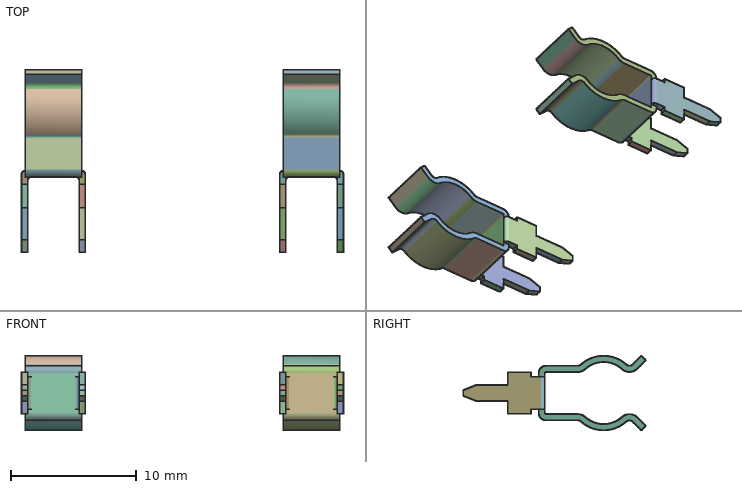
import cadquery as cq
import math


overall_width = 25.6
clip_width = 5.1
clip_pitch = overall_width - clip_width

sheet = 0.5
web_width = 4.5
arm_height = 2.18
corner_radius = 0.6
crest_y = 5.17
crest_height = 2.97
crest_radius = 2.7
valley_radius = 0.35
lip_angle = 45.0
lip_end_y = 8.52

neck_half_height = 1.3
shoulder_half_height = 1.66
pin_half_height = 0.65
tip_half_height = 0.23
shoulder_start_y = -0.6
shoulder_end_y = -2.45
taper_start_y = -4.97
tip_y = -6.0
leg_outer_radius = 0.33
leg_inner_radius = 0.25


def arm_bends():
    """Bends from web to lip as (center y, center z, outer radius, growth, start, end).

    Growth is the change of radius per unit of depth into the sheet; angles are in degrees.
    """
    crest_z = crest_height - crest_radius
    valley_z = arm_height + valley_radius
    rise = valley_z - crest_z
    reach = crest_radius + valley_radius
    half_span = math.sqrt(reach**2 - rise**2)
    crest_angle = math.degrees(math.asin(half_span / reach))
    return [
        (corner_radius, arm_height - corner_radius, corner_radius, -1, 180, 90),
        (crest_y - half_span, valley_z, valley_radius, 1, -90, crest_angle - 90),
        (crest_y, crest_z, crest_radius, -1, 90 + crest_angle, 90 - crest_angle),
        (crest_y + half_span, valley_z, valley_radius, 1, -90 - crest_angle, lip_angle - 90),
    ]


def bend_points(bend, depth):
    """Start, middle and end of a bend at a depth below the outer face of the sheet."""
    center_y, center_z, outer_radius, growth, start, end = bend
    radius = outer_radius + growth * depth
    points = []
    for degrees in (start, (start + end) / 2, end):
        angle = math.radians(degrees)
        points.append((center_y + radius * math.cos(angle), center_z + radius * math.sin(angle)))
    return points


def lip_end(last_bend_end, depth):
    """Square-cut lip end; its inner corner lies at lip_end_y."""
    lip = math.radians(lip_angle)
    end_y = lip_end_y - (sheet - depth) * math.sin(lip)
    run = end_y - last_bend_end[0]
    return end_y, last_bend_end[1] + run * math.tan(lip)


def make_arm():
    """Upper half of the spring: half of the web, one arm and its lip."""
    corner, *wave = arm_bends()
    outline = cq.Workplane("YZ").moveTo(0, 0)
    for tangent_run in ([corner], wave):
        outline = outline.lineTo(*bend_points(tangent_run[0], 0)[0])
        for bend in tangent_run:
            _, middle, end = bend_points(bend, 0)
            outline = outline.threePointArc(middle, end)
    outer_end = bend_points(wave[-1], 0)[-1]
    inner_end = bend_points(wave[-1], sheet)[-1]
    outline = outline.lineTo(*lip_end(outer_end, 0)).lineTo(*lip_end(inner_end, sheet))
    for tangent_run in (wave[::-1], [corner]):
        outline = outline.lineTo(*bend_points(tangent_run[0], sheet)[-1])
        for bend in tangent_run:
            start, middle, _ = bend_points(bend, sheet)
            outline = outline.threePointArc(middle, start)
    return outline.lineTo(sheet, 0).close().extrude(web_width / 2, both=True)


def make_neck():
    """Bend that turns the +X edge of the web back toward -Y."""
    outer_x = clip_width / 2
    inner_x = outer_x - sheet
    arc = math.sqrt(0.5)
    outer_center = (outer_x - leg_outer_radius, sheet - leg_outer_radius)
    inner_center = (inner_x - leg_inner_radius, -leg_inner_radius)
    outer_middle = tuple(c + leg_outer_radius * arc for c in outer_center)
    inner_middle = tuple(c + leg_inner_radius * arc for c in inner_center)
    return (
        cq.Workplane("XY")
        .moveTo(inner_center[0], 0)
        .lineTo(inner_center[0], sheet)
        .lineTo(outer_center[0], sheet)
        .threePointArc(outer_middle, (outer_x, outer_center[1]))
        .lineTo(outer_x, shoulder_start_y)
        .lineTo(inner_x, shoulder_start_y)
        .lineTo(inner_x, inner_center[1])
        .threePointArc(inner_middle, (inner_center[0], 0))
        .close()
        .extrude(neck_half_height, both=True)
    )


def make_blade():
    """Flat shoulder and tapered solder pin of the +X leg."""
    upper_edge = [
        (shoulder_start_y, shoulder_half_height),
        (shoulder_end_y, shoulder_half_height),
        (shoulder_end_y, pin_half_height),
        (taper_start_y, pin_half_height),
        (tip_y, tip_half_height),
    ]
    lower_edge = [(y, -z) for y, z in reversed(upper_edge)]
    return (
        cq.Workplane("YZ", origin=(clip_width / 2 - sheet, 0, 0))
        .polyline(upper_edge + lower_edge)
        .close()
        .extrude(sheet)
    )


def make_clip():
    """One complete clip, centered on X = 0."""
    arm = make_arm()
    leg = make_neck().union(make_blade())
    spring = arm.union(arm.mirror("XY"))
    return spring.union(leg).union(leg.mirror("YZ")).clean()


clips = []
for side in (-1, 1):
    clips.append(make_clip().translate((side * clip_pitch / 2, 0, 0)).solids().val())

result = cq.Compound.makeCompound(clips)